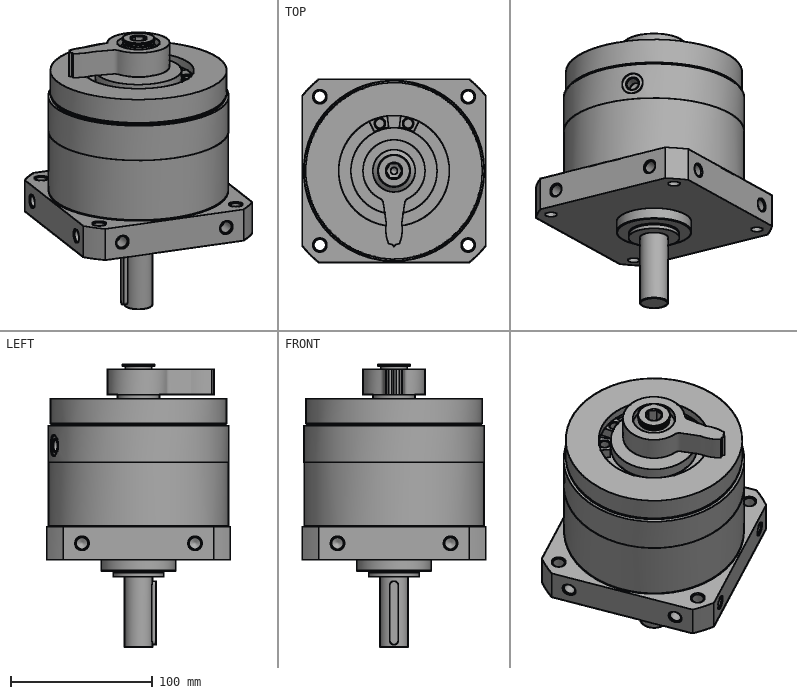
import cadquery as cq
import math

shaft_end_z = -62.0
collar_bottom_z = -12.0
collar_top_z = -9.0
spigot_z = -8.0
flange_top_z = 23.5
drum_bottom_z = 24.2
drum_joint_z = 69.0
drum_top_z = 95.0
cover_bottom_z = 96.2
cover_top_z = 114.2
lever_bottom_z = 117.0
lever_top_z = 135.0
post_top_z = 138.5

flange_width = 130.0
flange_corner_d = 168.0
mount_pitch = 105.0
thread_d = 8.38
thread_mouth_d = 10.0
side_hole_pitch = 80.0
side_hole_z = flange_top_z / 2
side_hole_depth = 14.0
spigot_d = 53.0
spigot_chamfer = 0.5
drill_tip_angle = 118.0

lower_drum_d = 127.65
upper_drum_d = 128.0
drum_seat_d = 127.0
cover_seat_d = 123.5
cover_d = 125.0
cover_chamfer = 0.6

opening_d = 78.4
lip_thickness = 6.5
cavity_d = 88.0
cavity_depth = 14.2
cavity_floor_z = cover_top_z - cavity_depth
block_start_angle = 7.0
block_end_angle = 26.7
block_inner_d = 62.0
block_top_z = cover_top_z - lip_thickness
block_hole_d = 6.65
block_hole_mouth_d = 7.8
block_hole_radius = 35.0
block_hole_angle = 16.6
block_hole_depth = block_top_z - cavity_floor_z

port_angle = 110.0
port_z = 81.0
port_face_radius = 63.0
port_face_d = 15.0
port_d = 8.57
port_mouth_d = 9.7
port_depth = 10.0
port_face_overcut = 1.0

shaft_d = 20.0
shaft_chamfer = 0.5
collar_d = 36.0
shaft_shoulder_d = 35.0
spindle_d = 30.0
rotor_d = 61.0
rotor_thickness = 8.5
rotor_hub_d = 53.0
post_cone_bottom_z = 129.5
post_shoulder_d = 22.0
post_cone_top_z = post_cone_bottom_z + (spindle_d - post_shoulder_d) / 2
post_shoulder_top_z = lever_top_z
post_neck_d = 19.0
post_rim_d = 23.0
post_rim_thickness = 1.5
post_rim_chamfer = 0.4
socket_flats = 10.0
socket_corners_d = socket_flats / math.cos(math.pi / 6)
socket_mouth_d = 12.0
socket_depth = 14.0
post_pilot_d = 4.92
post_pilot_depth = 5.0

key_width = 6.0
key_height = 6.0
key_reach = 12.5
key_length = 45.0
key_top_z = -15.0

lever_hub_d = 44.0
arm_root_x = 8.7
arm_root_y = -15.0
arm_fillet = 4.0
arm_waist_x = 5.5
arm_waist_y = -37.0
arm_belly_x = 5.8
arm_belly_y = -43.0
arm_end_x = 3.8
arm_end_y = -51.7
pointer_x = 1.5
pointer_shoulder_y = -51.9
pointer_tip_y = -53.6


def disc(diameter, bottom, top):
    return cq.Workplane("XY").workplane(offset=bottom).circle(diameter / 2).extrude(top - bottom)


def drilled_hole(diameter, mouth_d, depth):
    """Cutter along -Z from the origin: chamfered mouth, straight bore and drill-tip cone."""
    radius = diameter / 2
    mouth = mouth_d / 2
    tip = radius / math.tan(math.radians(drill_tip_angle / 2))
    profile = [
        (0, 0),
        (mouth, 0),
        (radius, radius - mouth),
        (radius, -depth),
        (0, -depth - tip),
    ]
    return cq.Workplane("XZ").polyline(profile).close().revolve(360, (0, 0, 0), (0, 1, 0))


def make_flange():
    square = cq.Workplane("XY").rect(flange_width, flange_width).extrude(flange_top_z)
    flange = square.intersect(disc(flange_corner_d, 0, flange_top_z))
    spigot = disc(spigot_d, spigot_z, 0).faces("<Z").chamfer(spigot_chamfer)
    flange = flange.union(spigot)

    through = drilled_hole(thread_d, thread_mouth_d, 2 * flange_top_z)
    for x in (-mount_pitch / 2, mount_pitch / 2):
        for y in (-mount_pitch / 2, mount_pitch / 2):
            flange = flange.cut(through.translate((x, y, flange_top_z)))

    blind = drilled_hole(thread_d, thread_mouth_d, side_hole_depth).rotate((0, 0, 0), (1, 0, 0), 90)
    for turn in (0, 90, 180, 270):
        for x in (-side_hole_pitch / 2, side_hole_pitch / 2):
            hole = blind.translate((x, -flange_width / 2, side_hole_z))
            flange = flange.cut(hole.rotate((0, 0, 0), (0, 0, 1), turn))
    return flange


def make_block(side):
    """Sector of the cavity ring beside the +Y axis, with a tapped hole in its top."""
    def ray(angle):
        turn = math.radians(angle)
        return side * cavity_d * math.sin(turn), cavity_d * math.cos(turn)

    wedge = (
        cq.Workplane("XY").workplane(offset=cavity_floor_z)
        .polyline([(0, 0), ray(block_start_angle), ray(block_end_angle)]).close()
        .extrude(block_top_z - cavity_floor_z)
    )
    ring = disc(cavity_d, cavity_floor_z, block_top_z).cut(disc(block_inner_d, cavity_floor_z, block_top_z))
    turn = math.radians(block_hole_angle)
    hole = drilled_hole(block_hole_d, block_hole_mouth_d, block_hole_depth).translate(
        (side * block_hole_radius * math.sin(turn), block_hole_radius * math.cos(turn), block_top_z)
    )
    return wedge.intersect(ring).cut(hole)


def cut_air_port(housing):
    spot_depth = upper_drum_d / 2 - port_face_radius
    spot_face = cq.Workplane("XY").circle(port_face_d / 2).extrude(spot_depth + port_face_overcut)
    port = drilled_hole(port_d, port_mouth_d, port_depth).union(spot_face)
    port = port.rotate((0, 0, 0), (0, 1, 0), 90).translate((port_face_radius, 0, port_z))
    return housing.cut(port.rotate((0, 0, 0), (0, 0, 1), port_angle))


def make_housing():
    housing = make_flange()
    housing = housing.union(disc(drum_seat_d, flange_top_z, drum_bottom_z))
    housing = housing.union(disc(lower_drum_d, drum_bottom_z, drum_joint_z))
    housing = housing.union(disc(upper_drum_d, drum_joint_z, drum_top_z))
    housing = housing.union(disc(cover_seat_d, drum_top_z, cover_bottom_z))
    housing = housing.union(disc(cover_d, cover_bottom_z, cover_top_z).faces("<Z").chamfer(cover_chamfer))
    housing = housing.cut(disc(opening_d, cavity_floor_z, cover_top_z))
    housing = housing.cut(disc(cavity_d, cavity_floor_z, cover_top_z - lip_thickness))
    for side in (-1, 1):
        housing = housing.union(make_block(side))
    housing = housing.cut(disc(spindle_d, spigot_z, cavity_floor_z))
    return cut_air_port(housing)


def make_key():
    """Round-ended parallel key on the -Y side of the shaft."""
    return (
        cq.Workplane("XZ").workplane(offset=key_reach - key_height)
        .center(0, key_top_z - key_length / 2)
        .slot2D(key_length, key_width, 90)
        .extrude(key_height)
    )


def make_socket():
    """Cutter for the hexagon socket, its conical floor and the pilot hole below it."""
    total_depth = socket_depth + socket_flats
    hexagon = cq.Workplane("XY").polygon(6, socket_corners_d).extrude(-total_depth)
    socket = hexagon.intersect(drilled_hole(socket_corners_d, socket_mouth_d, socket_depth))
    mouth_depth = (socket_mouth_d - post_pilot_d) / 2
    mouth = cq.Workplane("XY").circle(socket_mouth_d / 2).workplane(offset=-mouth_depth)
    mouth = mouth.circle(post_pilot_d / 2).loft()
    pilot = drilled_hole(post_pilot_d, socket_flats, socket_depth + post_pilot_depth)
    return socket.union(mouth).union(pilot)


def make_shaft(key):
    rotor_bottom_z = cover_top_z - rotor_thickness
    rim_bottom_z = post_top_z - post_rim_thickness
    profile = [
        (0, shaft_end_z),
        (shaft_d / 2 - shaft_chamfer, shaft_end_z),
        (shaft_d / 2, shaft_end_z + shaft_chamfer),
        (shaft_d / 2, collar_bottom_z),
        (collar_d / 2, collar_bottom_z),
        (collar_d / 2, collar_top_z),
        (shaft_shoulder_d / 2, collar_top_z),
        (shaft_shoulder_d / 2, spigot_z),
        (spindle_d / 2, spigot_z),
        (spindle_d / 2, cavity_floor_z),
        (rotor_hub_d / 2, cavity_floor_z),
        (rotor_hub_d / 2, rotor_bottom_z),
        (rotor_d / 2, rotor_bottom_z),
        (rotor_d / 2, cover_top_z),
        (spindle_d / 2, cover_top_z),
        (spindle_d / 2, post_cone_bottom_z),
        (post_shoulder_d / 2, post_cone_top_z),
        (post_shoulder_d / 2, post_shoulder_top_z),
        (post_neck_d / 2, post_shoulder_top_z),
        (post_neck_d / 2, rim_bottom_z),
        (post_rim_d / 2 - post_rim_chamfer, rim_bottom_z),
        (post_rim_d / 2, rim_bottom_z + post_rim_chamfer),
        (post_rim_d / 2, post_top_z - post_rim_chamfer),
        (post_rim_d / 2 - post_rim_chamfer, post_top_z),
        (0, post_top_z),
    ]
    shaft = cq.Workplane("XZ").polyline(profile).close().revolve(360, (0, 0, 0), (0, 1, 0))
    return shaft.cut(make_socket().translate((0, 0, post_top_z))).cut(key)


def make_lever():
    """Round hub with a tapering arm that ends in a small pointer on the -Y side."""
    arm = (
        cq.Workplane("XY").workplane(offset=lever_bottom_z)
        .moveTo(-arm_root_x, arm_root_y)
        .lineTo(-arm_waist_x, arm_waist_y)
        .threePointArc((-arm_belly_x, arm_belly_y), (-arm_end_x, arm_end_y))
        .lineTo(-pointer_x, pointer_shoulder_y)
        .lineTo(0, pointer_tip_y)
        .lineTo(pointer_x, pointer_shoulder_y)
        .lineTo(arm_end_x, arm_end_y)
        .threePointArc((arm_belly_x, arm_belly_y), (arm_waist_x, arm_waist_y))
        .lineTo(arm_root_x, arm_root_y)
        .close()
        .extrude(lever_top_z - lever_bottom_z)
    )
    hub = disc(lever_hub_d, lever_bottom_z, lever_top_z)
    corners = cq.selectors.BoxSelector(
        (-lever_hub_d / 2, -lever_hub_d / 2, lever_bottom_z),
        (lever_hub_d / 2, arm_root_y, lever_top_z),
    )
    lever = hub.union(arm).edges("|Z").edges(corners).fillet(arm_fillet)
    return lever.cut(disc(spindle_d, lever_bottom_z, lever_top_z))


housing = make_housing()
key = make_key()
shaft = make_shaft(key)
lever = make_lever()

result = cq.Compound.makeCompound([housing.val(), shaft.val(), key.val(), lever.val()])